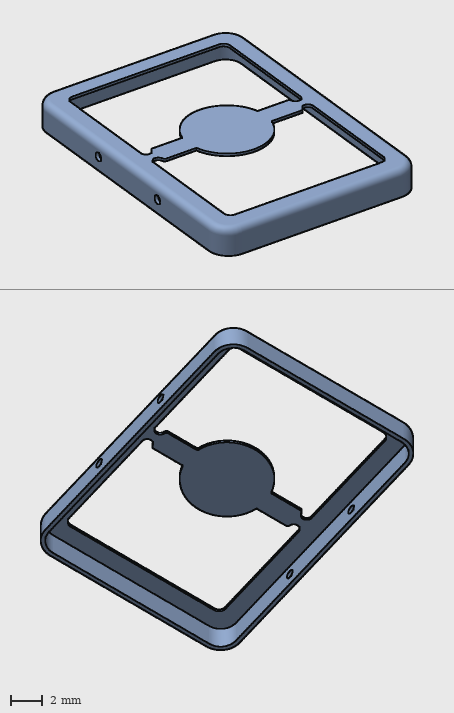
import cadquery as cq
import math

length = 20.9
width = 15.3
height = 2.0
corner_radius = 1.5
top_round = 0.5

plate_thickness = 0.2
wall_thickness = 0.3
cavity_corner_radius = corner_radius - wall_thickness
rim_width = 1.5
opening_length = length - 2 * rim_width
opening_width = width - 2 * rim_width
opening_corner_radius = 0.5

disc_diameter = 6.0
strap_width = 1.55
neck_width = 0.63
notch_radius = 0.38
shoulder_radius = 0.2

hole_diameter = 0.6
hole_spacing = 6.5
hole_height = height / 2


def rounded_block(size_x, size_y, size_z, radius, base_z):
    """Upright block centred on the Z axis, with rounded vertical edges."""
    block = cq.Workplane("XY").workplane(offset=base_z).rect(size_x, size_y).extrude(size_z)
    return block.edges("|Z").fillet(radius)


def make_frame():
    shell = rounded_block(length, width, height, corner_radius, 0)
    shell = shell.faces(">Z").edges().fillet(top_round)
    cavity = rounded_block(
        length - 2 * wall_thickness,
        width - 2 * wall_thickness,
        height - plate_thickness,
        cavity_corner_radius,
        0,
    )
    opening = rounded_block(opening_length, opening_width, height, opening_corner_radius, 0)
    return shell.cut(cavity).cut(opening)


def make_strap():
    """Strap from the disc centre to the +Y rim, necked by a round notch on each side."""
    rim_y = opening_width / 2
    root_y = rim_y + rim_width / 4
    half_strap = strap_width / 2
    notch_x = neck_width / 2 + notch_radius
    notch_y = rim_y - notch_radius

    shoulder_x = half_strap - shoulder_radius
    centre_distance = notch_radius + shoulder_radius
    shoulder_y = notch_y - math.sqrt(centre_distance**2 - (notch_x - shoulder_x) ** 2)
    blend = notch_radius / centre_distance
    tangent_x = notch_x + blend * (shoulder_x - notch_x)
    tangent_y = notch_y + blend * (shoulder_y - notch_y)

    half_turn = math.atan2(notch_y - shoulder_y, notch_x - shoulder_x) / 2
    middle_x = shoulder_x + shoulder_radius * math.cos(half_turn)
    middle_y = shoulder_y + shoulder_radius * math.sin(half_turn)

    half_outline = (
        cq.Workplane("XY")
        .workplane(offset=height - plate_thickness)
        .lineTo(half_strap, 0)
        .lineTo(half_strap, shoulder_y)
        .threePointArc((middle_x, middle_y), (tangent_x, tangent_y))
        .threePointArc((neck_width / 2, notch_y), (notch_x, rim_y))
        .lineTo(notch_x, root_y)
        .lineTo(0, root_y)
        .close()
    )
    half_strap_solid = half_outline.extrude(plate_thickness)
    return half_strap_solid.union(half_strap_solid.mirror("YZ"))


def make_disc():
    plane = cq.Workplane("XY").workplane(offset=height - plate_thickness)
    return plane.circle(disc_diameter / 2).extrude(plate_thickness)


def make_wall_holes():
    """Two cylinders along Y that pierce both long walls."""
    return (
        cq.Workplane("XZ")
        .pushPoints([(-hole_spacing / 2, hole_height), (hole_spacing / 2, hole_height)])
        .circle(hole_diameter / 2)
        .extrude(width / 2, both=True)
    )


strap = make_strap()
frame = make_frame().cut(make_wall_holes())
result = frame.union(make_disc()).union(strap).union(strap.mirror("XZ"))